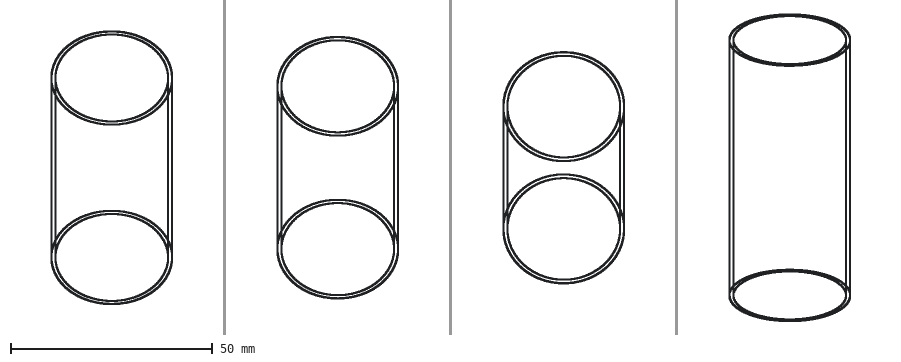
import cadquery as cq

length = 70.0
outer_diameter = 30.0
inner_diameter = 28.0

result = (
    cq.Workplane("XY")
    .circle(outer_diameter / 2)
    .circle(inner_diameter / 2)
    .extrude(length)
)